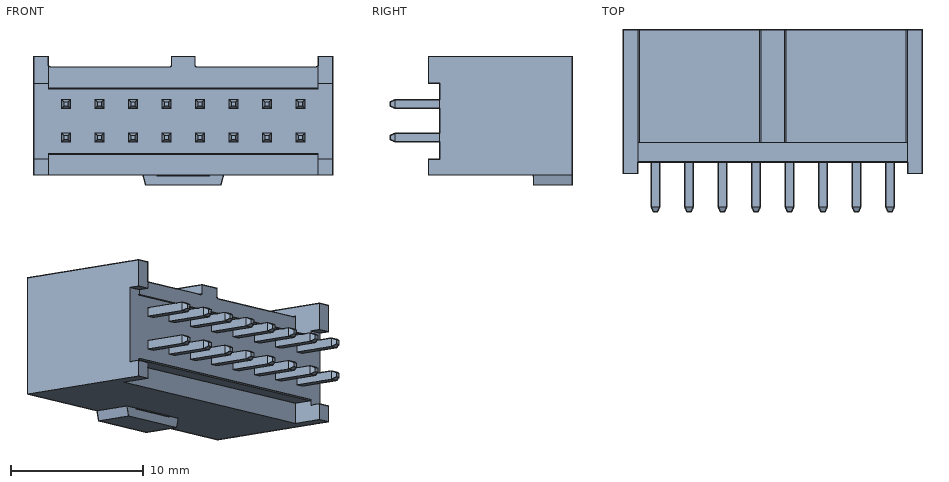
import cadquery as cq

length = 22.65
height = 9.0
back_y = 10.05
shroud_depth = 8.55
shroud_front_y = back_y - shroud_depth
shroud_top = height - 0.8

wall_thickness = 1.1
wall_inner_x = length / 2 - wall_thickness
foot_length = 0.84
upper_foot_height = 2.05
lower_foot_height = 1.22

base_bottom = 1.56
base_top = 6.62
base_edge_chamfer = 0.1

ridge_width = 1.8
ridge_strip_width = 0.1
wall_strip_width = 0.14
strip_height = 0.1

key_height = 0.75
key_length = 2.95
key_top_width = 6.12
key_bottom_width = 5.7
key_strip_width = 3.95
key_strip_size = 0.07

pin_columns = 8
pin_pitch = 2.54
lower_row_z = 2.85
pin_size = 0.65
pin_reach = 3.75
pin_tip_length = 0.36
pin_tip_size = 0.32


def block(x0, x1, y0, y1, z0, z1):
    """Box between two opposite corners."""
    return cq.Workplane("XY").box(x1 - x0, y1 - y0, z1 - z0, centered=False).translate((x0, y0, z0))


def centred_block(width, y0, y1, z0, z1):
    """Box centred on X = 0."""
    return block(-width / 2, width / 2, y0, y1, z0, z1)


def make_base():
    """Full-length block behind the pin face, with its two long front edges broken."""
    base = centred_block(2 * wall_inner_x, 0, back_y, base_bottom, base_top)
    return base.faces("<Y").edges("|X").chamfer(base_edge_chamfer)


def make_end_wall(side):
    """End wall with an upper and a lower foot; side is -1 or 1."""
    wall = block(wall_inner_x, length / 2, -foot_length, back_y, 0, height)
    notch = block(
        wall_inner_x, length / 2, -foot_length, 0, lower_foot_height, height - upper_foot_height
    )
    wall = wall.cut(notch)
    return wall if side > 0 else wall.mirror("YZ")


def make_corner_strip(corner_x, reach):
    """Triangular strip along Y in the corner where a raised side meets the shroud top."""
    return (
        cq.Workplane("XZ", origin=(corner_x, back_y, shroud_top))
        .polyline([(0, 0), (reach, 0), (0, strip_height)])
        .close()
        .extrude(shroud_depth)
    )


def make_key():
    """Tapered key at the back of the underside, with a strip in the corner at its front."""
    key = (
        cq.Workplane("XZ", origin=(0, back_y, 0))
        .polyline([
            (-key_top_width / 2, 0),
            (key_top_width / 2, 0),
            (key_bottom_width / 2, -key_height),
            (-key_bottom_width / 2, -key_height),
        ])
        .close()
        .extrude(key_length)
    )
    strip = (
        cq.Workplane("YZ", origin=(-key_strip_width / 2, back_y - key_length, 0))
        .polyline([(0, 0), (-key_strip_size, 0), (0, -key_strip_size)])
        .close()
        .extrude(key_strip_width)
    )
    return key.union(strip)


def make_pin(x, z):
    """Square pin rooted in the base, with a tapered tip."""
    shank_length = pin_reach - pin_tip_length
    root_depth = shroud_front_y
    shank = (
        cq.Workplane("XZ", origin=(x, root_depth, z))
        .rect(pin_size, pin_size)
        .extrude(root_depth + shank_length)
    )
    tip = (
        cq.Workplane("XZ", origin=(x, -shank_length, z))
        .rect(pin_size, pin_size)
        .workplane(offset=pin_tip_length)
        .rect(pin_tip_size, pin_tip_size)
        .loft()
    )
    return shank.union(tip)


shroud = centred_block(2 * wall_inner_x, shroud_front_y, back_y, 0, shroud_top)
ridge = centred_block(ridge_width, shroud_front_y, back_y, shroud_top, height)
result = shroud.union(make_base()).union(ridge).union(make_key())

for side in (-1, 1):
    result = result.union(make_end_wall(side))
    result = result.union(make_corner_strip(side * wall_inner_x, -side * wall_strip_width))
    result = result.union(make_corner_strip(side * ridge_width / 2, side * ridge_strip_width))

for column in range(pin_columns):
    pin_x = (column - (pin_columns - 1) / 2) * pin_pitch
    for pin_z in (lower_row_z, lower_row_z + pin_pitch):
        result = result.union(make_pin(pin_x, pin_z))